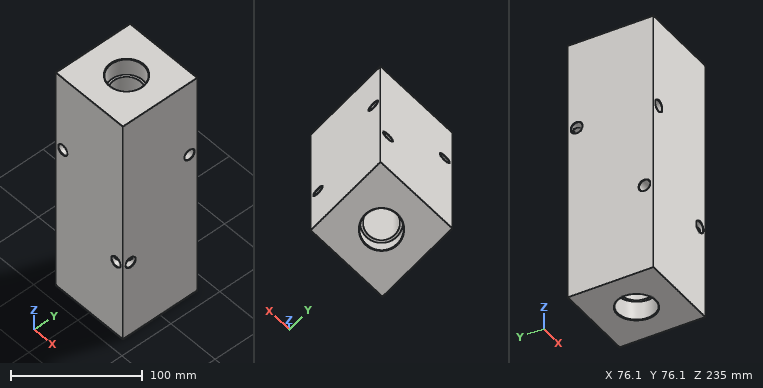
import cadquery as cq

block_height = 235.0
block_width = 76.1

bore_diameter = 28.0
socket_depth = 16.7
socket_top_diameter = 33.4
socket_floor_diameter = 32.5
socket_chamfer = 0.59

cross_hole_diameter = 9.9
cross_hole_chamfer = 0.35
cross_hole_edge_distance = 8.0
cross_hole_offset = block_width / 2 - cross_hole_edge_distance
cross_hole_height = block_width / 2


def revolve_about_z(outline):
    """Solid of revolution about Z from (radius, z) points."""
    return cq.Workplane("XZ").polyline(outline).close().revolve(360, (0, 0, 0), (0, 1, 0))


def make_bore():
    """Cutter for the bore and the sockets at its two ends."""
    top = block_height / 2
    floor = top - socket_depth
    bore_radius = bore_diameter / 2
    socket_top_radius = socket_top_diameter / 2
    cutter = cq.Workplane("XY").circle(bore_radius).extrude(top, both=True)
    socket = revolve_about_z([
        (0, floor),
        (socket_floor_diameter / 2, floor),
        (socket_top_radius, top - socket_chamfer),
        (socket_top_radius + socket_chamfer, top),
        (0, top),
    ])
    return cutter.union(socket).union(socket.mirror("XY"))


def make_cross_hole():
    """Upright cutter for a cross hole, chamfered where it meets both faces."""
    radius = cross_hole_diameter / 2
    mouth_radius = radius + cross_hole_chamfer
    face = block_width / 2
    chamfer_end = face - cross_hole_chamfer
    return revolve_about_z([
        (0, -face),
        (mouth_radius, -face),
        (radius, -chamfer_end),
        (radius, chamfer_end),
        (mouth_radius, face),
        (0, face),
    ])


block = cq.Workplane("XY").box(block_width, block_width, block_height)
result = block.cut(make_bore())

cross_hole = make_cross_hole()
hole_along_y = cross_hole.rotate((0, 0, 0), (1, 0, 0), 90)
hole_along_x = cross_hole.rotate((0, 0, 0), (0, 1, 0), 90)
for side in (1, -1):
    height = side * cross_hole_height
    offset = side * cross_hole_offset
    result = result.cut(hole_along_y.translate((-offset, 0, height)))
    result = result.cut(hole_along_x.translate((0, offset, height)))